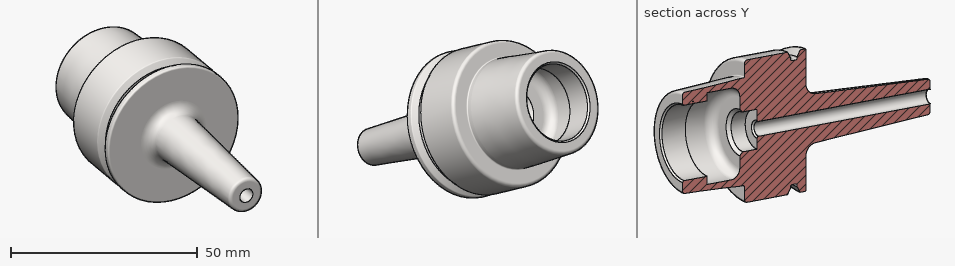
import cadquery as cq
import math

total_length = 80.0
taper_end = 18.4
flange_start = 20.0
flange_end = 40.0

shank_end_dia = 28.4
shank_taper = 0.1
shank_edge_fillet = 1.0
shank_root_fillet = 0.3

flange_dia = 40.0
flange_edge_fillet = 1.0
rim_edge_fillet = 0.5
groove_center = 36.0
groove_dia = 34.8
groove_mouth_width = 4.0
groove_floor_width = 1.9
groove_wall_angle = 30.0
groove_mouth_fillet = 0.5
groove_floor_fillet = 0.4

nose_tip_dia = 10.0
nose_half_angle = 3.0
nose_root_fillet = 3.0
nose_tip_fillet = 1.0

mouth_dia = 21.9
bore_dia = 21.0
bore_depth = 8.0
chamber_dia = 25.5
chamber_floor = 18.5
chamber_flat_dia = 20.0
pocket_dia = 11.0
pocket_mouth_dia = 13.0
pocket_floor = 24.0
hole_dia = 4.0
hole_mouth_dia = 5.0


def tangent(degrees):
    return math.tan(math.radians(degrees))


def revolve_about_x(outline):
    return outline.close().revolve(360, (0, 0, 0), (1, 0, 0))


def fillet_circle(body, station, radius, fillet_radius):
    """Round the circular edge of the given radius that lies at one station along the axis."""
    margin = 0.01
    slab = cq.selectors.BoxSelector(
        (station - margin, -flange_dia, -flange_dia),
        (station + margin, flange_dia, flange_dia),
    )
    circles = body.edges("%CIRCLE").edges(slab)
    return circles.filter(lambda edge: abs(edge.radius() - radius) < margin).fillet(fillet_radius)


shank_end_radius = shank_end_dia / 2
shank_root_radius = shank_end_radius + taper_end * shank_taper / 2
flange_radius = flange_dia / 2
groove_radius = groove_dia / 2
nose_tip_radius = nose_tip_dia / 2
nose_root_radius = nose_tip_radius + (total_length - flange_end) * tangent(nose_half_angle)

groove_half_mouth = groove_mouth_width / 2
groove_half_floor = groove_floor_width / 2
groove_wall_depth = (groove_half_mouth - groove_half_floor) / tangent(groove_wall_angle)
groove_step_radius = flange_radius - groove_wall_depth

body = revolve_about_x(
    cq.Workplane("XY")
    .lineTo(0, shank_end_radius)
    .lineTo(taper_end, shank_root_radius)
    .lineTo(flange_start, shank_root_radius)
    .lineTo(flange_start, flange_radius)
    .lineTo(groove_center - groove_half_mouth, flange_radius)
    .lineTo(groove_center - groove_half_floor, groove_step_radius)
    .lineTo(groove_center - groove_half_floor, groove_radius)
    .lineTo(groove_center + groove_half_floor, groove_radius)
    .lineTo(groove_center + groove_half_floor, groove_step_radius)
    .lineTo(groove_center + groove_half_mouth, flange_radius)
    .lineTo(flange_end, flange_radius)
    .lineTo(flange_end, nose_root_radius)
    .lineTo(total_length, nose_tip_radius)
    .lineTo(total_length, 0)
)

body = fillet_circle(body, 0, shank_end_radius, shank_edge_fillet)
body = fillet_circle(body, flange_start, shank_root_radius, shank_root_fillet)
body = fillet_circle(body, flange_start, flange_radius, flange_edge_fillet)
for side in (-1, 1):
    mouth_station = groove_center + side * groove_half_mouth
    floor_station = groove_center + side * groove_half_floor
    body = fillet_circle(body, mouth_station, flange_radius, groove_mouth_fillet)
    body = fillet_circle(body, floor_station, groove_radius, groove_floor_fillet)
body = fillet_circle(body, flange_end, flange_radius, rim_edge_fillet)
body = fillet_circle(body, flange_end, nose_root_radius, nose_root_fillet)
body = fillet_circle(body, total_length, nose_tip_radius, nose_tip_fillet)

bore_radius = bore_dia / 2
chamber_radius = chamber_dia / 2
pocket_radius = pocket_dia / 2
hole_radius = hole_dia / 2
mouth_chamfer = (mouth_dia - bore_dia) / 2
pocket_chamfer = (pocket_mouth_dia - pocket_dia) / 2
hole_chamfer = (hole_mouth_dia - hole_dia) / 2
chamber_fillet = (chamber_dia - chamber_flat_dia) / 2

cavity = revolve_about_x(
    cq.Workplane("XY")
    .lineTo(0, mouth_dia / 2)
    .lineTo(mouth_chamfer, bore_radius)
    .lineTo(bore_depth, bore_radius)
    .lineTo(bore_depth, chamber_radius)
    .lineTo(chamber_floor - chamber_fillet, chamber_radius)
    .tangentArcPoint((chamber_floor, chamber_flat_dia / 2), relative=False)
    .lineTo(chamber_floor, pocket_mouth_dia / 2)
    .lineTo(chamber_floor + pocket_chamfer, pocket_radius)
    .lineTo(pocket_floor, pocket_radius)
    .lineTo(pocket_floor, hole_mouth_dia / 2)
    .lineTo(pocket_floor + hole_chamfer, hole_radius)
    .lineTo(total_length, hole_radius)
    .lineTo(total_length, 0)
)

result = body.cut(cavity)